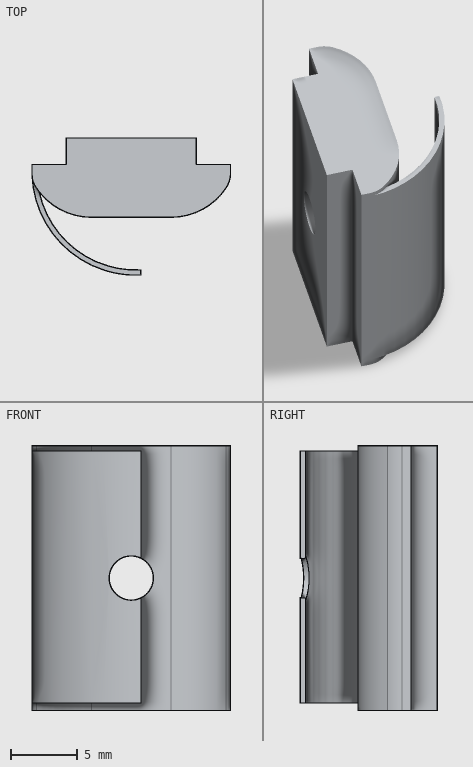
import cadquery as cq
import math

length = 20.0
width = 15.0
neck_width = 9.85
neck_depth = 2.0
block_depth = 6.0
corner_radius = 5.0
front_flat_width = 6.0
blend_radius = 2.0

overall_depth = 10.35
leaf_radius = 7.85
leaf_thickness = 0.4
leaf_tip_x = 0.75
leaf_bottom_z = 0.55
leaf_length = 19.05

hole_diameter = 3.32

half_width = width / 2
half_neck = neck_width / 2
half_flat = front_flat_width / 2


def point_on_circle(center, radius, angle):
    return (center[0] + radius * math.cos(angle), center[1] + radius * math.sin(angle))


def make_block():
    corner_center = (half_flat, corner_radius - block_depth)
    offset_x = half_width - blend_radius - half_flat
    offset_y = -math.sqrt((corner_radius - blend_radius) ** 2 - offset_x**2)
    blend_center = (half_flat + offset_x, corner_center[1] + offset_y)
    joint_angle = math.atan2(offset_y, offset_x)

    wall_end = (half_width, blend_center[1])
    blend_middle = point_on_circle(blend_center, blend_radius, joint_angle / 2)
    joint = point_on_circle(corner_center, corner_radius, joint_angle)
    corner_middle = point_on_circle(corner_center, corner_radius, (joint_angle - math.pi / 2) / 2)

    right_half = (
        cq.Workplane("XY")
        .lineTo(half_neck, 0)
        .lineTo(half_neck, -neck_depth)
        .lineTo(half_width, -neck_depth)
        .lineTo(*wall_end)
        .threePointArc(blend_middle, joint)
        .threePointArc(corner_middle, (half_flat, -block_depth))
        .lineTo(0, -block_depth)
        .close()
        .extrude(length)
    )
    return right_half.union(right_half.mirror("YZ")).clean()


def make_leaf():
    center = (leaf_radius - half_width, leaf_radius - overall_depth)
    inner_radius = leaf_radius - leaf_thickness
    root_angle = math.pi
    tip_angle = 1.5 * math.pi + math.asin((leaf_tip_x - center[0]) / leaf_radius)
    middle_angle = (root_angle + tip_angle) / 2

    return (
        cq.Workplane("XY", origin=(0, 0, leaf_bottom_z))
        .moveTo(*point_on_circle(center, leaf_radius, root_angle))
        .threePointArc(
            point_on_circle(center, leaf_radius, middle_angle),
            point_on_circle(center, leaf_radius, tip_angle),
        )
        .lineTo(*point_on_circle(center, inner_radius, tip_angle))
        .threePointArc(
            point_on_circle(center, inner_radius, middle_angle),
            point_on_circle(center, inner_radius, root_angle),
        )
        .close()
        .extrude(leaf_length)
    )


def make_hole():
    return (
        cq.Workplane("XZ", origin=(0, 0, length / 2))
        .circle(hole_diameter / 2)
        .extrude(overall_depth)
    )


result = make_block().union(make_leaf()).cut(make_hole())